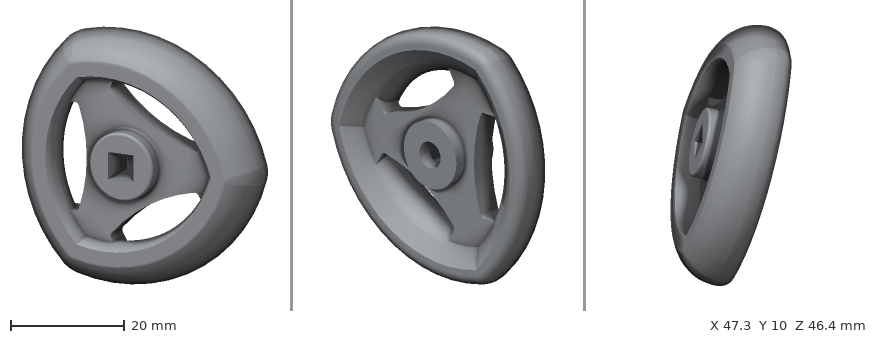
import cadquery as cq
import math

width = 47.25
depth = 10.0
side_count = 3

corner_distance = 18.9
corner_half_angle = 15.0
side_half_angle = 180.0 / side_count - corner_half_angle

rim_front = 0.3
back_round = 2.0
crown_round = 5.0
front_round = 7.6
front_edge_round = 1.0
back_slope = 18.5
crown_slope = -4.0

crest_radius = 20.75
crest_y = 3.8
hollow_round = 5.0
bend_round = 7.5
mouth_round = 3.8
mouth_depth = 1.2
flare_angle = 55.0

web_front = 2.9
web_back = 7.5
hub_diameter = 12.5
hub_round = 0.5
bore = 5.0
window_inner_x = -8.15
window_inner_radius = 29.1
window_half_height = 9.95
window_corner_round = 0.9

web_middle = (web_front + web_back) / 2
socket_depth = web_back
corner_x = corner_distance * math.cos(math.pi / side_count)
corner_z = corner_distance * math.sin(math.pi / side_count)
corner_to_side_center = corner_z / math.sin(math.radians(side_half_angle))
side_center = corner_z / math.tan(math.radians(side_half_angle)) - corner_x
corner_radius = (width - corner_distance - corner_to_side_center + side_center) / 2
side_radius = corner_to_side_center + corner_radius


def polar(center, radius, angle):
    """Point at a radius and an angle in degrees from a centre."""
    turn = math.radians(angle)
    return (center[0] + radius * math.cos(turn), center[1] + radius * math.sin(turn))


def arc_about(section, center, radius, start, end):
    """Continue a section with an arc between two normal directions."""
    return section.threePointArc(polar(center, radius, (start + end) / 2), polar(center, radius, end))


def normal_at(center, radius, y):
    """Direction in degrees from a centre to the point of its arc's hub side at height y."""
    return 180.0 + math.degrees(math.asin((center[1] - y) / radius))


def blank_section(outer_radius):
    """Half section of the unpierced rim, from its axis at X = 0 out to the crown."""
    back_sine = math.sin(math.radians(back_slope))
    crown_sine = math.sin(math.radians(crown_slope))
    crown_y = depth - back_round + (back_round - crown_round) * back_sine
    crown_center = (outer_radius - crown_round, crown_y)
    back_center = polar(crown_center, crown_round - back_round, back_slope)
    front_center = polar(crown_center, crown_round - front_round, crown_slope)
    rise = crown_y + (crown_round - front_round) * crown_sine - rim_front - front_edge_round
    front_slope = -math.degrees(math.asin(rise / (front_round - front_edge_round)))
    edge_center = polar(front_center, front_round - front_edge_round, front_slope)

    section = cq.Workplane("XY").moveTo(0, depth).lineTo(back_center[0], depth)
    section = arc_about(section, back_center, back_round, 90.0, back_slope)
    section = arc_about(section, crown_center, crown_round, back_slope, crown_slope)
    section = arc_about(section, front_center, front_round, crown_slope, front_slope)
    section = arc_about(section, edge_center, front_edge_round, front_slope, -90.0)
    return section.lineTo(0, rim_front).close()


def turn_about_hub(solid, angle):
    return solid.rotate((0, 0, 0), (0, 1, 0), angle)


def around_hub(solid):
    """Copies of a solid, one for each side of the wheel."""
    return [turn_about_hub(solid, i * 360.0 / side_count) for i in range(side_count)]


def sector(section, half_angle):
    """Revolve a section about its own axis, evenly to both sides of +X."""
    return turn_about_hub(section.revolve(2 * half_angle, (0, 0, 0), (0, 1, 0)), -half_angle)


def rim_blank():
    side = sector(blank_section(side_radius), side_half_angle).translate((-side_center, 0, 0))
    corner = sector(blank_section(corner_radius), corner_half_angle).translate((corner_distance, 0, 0))
    pieces = around_hub(turn_about_hub(side, 180.0)) + around_hub(corner)
    blank = pieces[0]
    for piece in pieces[1:]:
        blank = blank.union(piece)
    return blank


def rim_opening():
    """Space inside the rim: where the discs of all three sides overlap, so its corners are sharp."""
    hollow_center = (crest_radius + hollow_round, crest_y)
    flare_normal = 180.0 - flare_angle
    flare_start = polar(hollow_center, hollow_round, flare_normal)
    flare_width = (depth - flare_start[1]) * math.tan(math.radians(flare_angle))
    web_normal = normal_at(hollow_center, hollow_round, web_front)
    bend_center = polar(hollow_center, hollow_round - bend_round, web_normal)
    mouth_normal = normal_at(bend_center, bend_round, rim_front + mouth_depth)
    mouth_center = polar(bend_center, bend_round - mouth_round, mouth_normal)
    face_normal = normal_at(mouth_center, mouth_round, rim_front)

    section = cq.Workplane("XY").moveTo(0, depth).lineTo(flare_start[0] + flare_width, depth)
    section = section.lineTo(*flare_start)
    section = arc_about(section, hollow_center, hollow_round, flare_normal, web_normal)
    section = arc_about(section, bend_center, bend_round, web_normal, mouth_normal)
    section = arc_about(section, mouth_center, mouth_round, mouth_normal, face_normal)
    section = section.lineTo(0, rim_front).close()
    disc = section.revolve(360, (0, 0, 0), (0, 1, 0)).translate((side_center, 0, 0))
    discs = around_hub(disc)
    opening = discs[0]
    for other in discs[1:]:
        opening = opening.intersect(other)
    return opening


def window():
    """Cutter for one window: a flat-ended piece of disc that reaches out into the rim."""
    disc_x = window_inner_x - window_inner_radius
    disc = (
        cq.Workplane("XZ", origin=(disc_x, web_front, 0))
        .circle(window_inner_radius)
        .extrude(web_front - web_back)
    )
    band = cq.Workplane("XY").box(width, 2 * depth, 2 * window_half_height)
    cutter = disc.intersect(band.translate((window_inner_x - width / 2, 0, 0)))
    corners = cutter.edges("|Y").edges(">X")
    return corners.fillet(window_corner_round)


def web():
    thickness = web_back - web_front
    slab = cq.Workplane("XY").box(width, thickness, width).translate((0, web_middle, 0))
    plate = rim_opening().intersect(slab)
    for cutter in around_hub(window()):
        plate = plate.cut(cutter)
    return plate


def hub():
    radius = hub_diameter / 2
    section = (
        cq.Workplane("XY")
        .lineTo(radius - hub_round, 0)
        .radiusArc((radius, hub_round), -hub_round)
        .lineTo(radius, web_front - hub_round)
        .radiusArc((radius + hub_round, web_front), hub_round)
        .lineTo(radius, web_front)
        .lineTo(radius, depth)
        .lineTo(0, depth)
        .close()
    )
    return section.revolve(360, (0, 0, 0), (0, 1, 0))


def hub_hole():
    """Square socket from the front that goes on as a round bore of the same width."""
    socket = cq.Workplane("XZ").rect(bore, bore).extrude(-socket_depth)
    return socket.union(cq.Workplane("XZ").circle(bore / 2).extrude(-depth))


rim = rim_blank().cut(rim_opening())
result = rim.union(web()).union(hub()).cut(hub_hole())